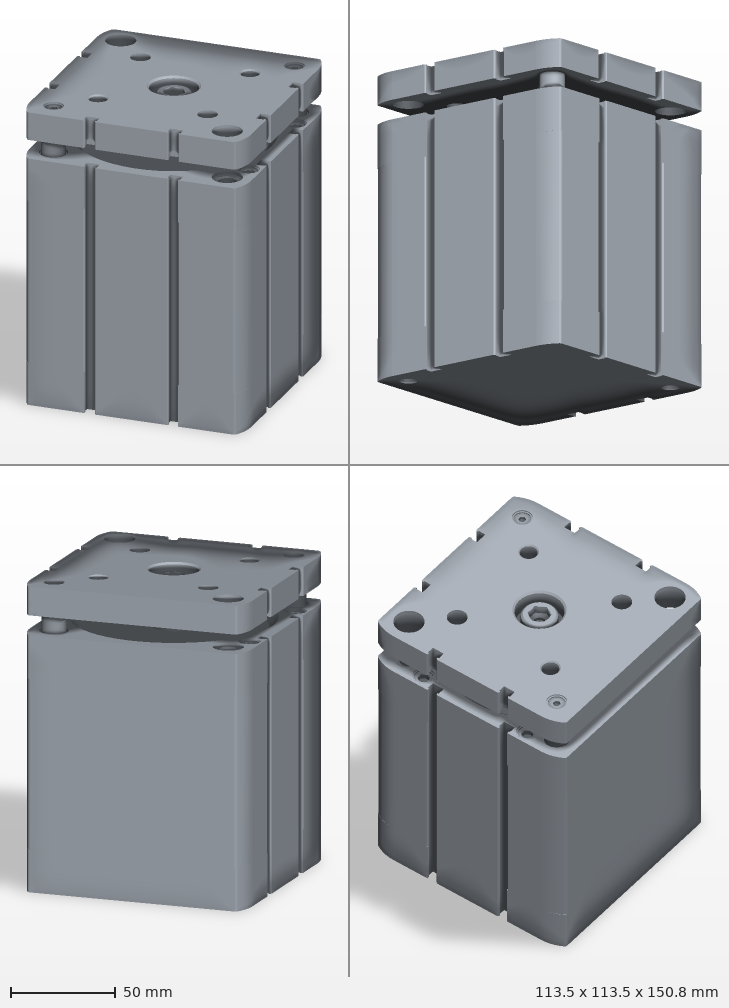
import cadquery as cq
import math


total_height = 150.8
side = 113.5
half_side = side / 2

lower_cap_height = 21.3
barrel_top = 105.3
housing_top = 127.0
plate_thickness = 14.2
plate_bottom = total_height - plate_thickness

rod_offset = 44.5
cap_corner_radius = 22.3
cap_corner_fillet = 1.5
barrel_corner_radius = 21.1
barrel_corner_fillet = 2.0

slot_offset = 21.4
slot_depth = 5.3
slot_mouth_width = 5.1
slot_inner_width = 6.5
slot_lip_depth = 1.4
slot_mouth_chamfer = 0.6

rod_diameter = 20.0
rod_flat_width = 17.0
rod_flat_bottom = 129.8
rod_flat_runout = 1.2
rod_tip_z = 148.0
rod_tip_diameter = 18.0
rod_tip_chamfer = 1.0
rod_socket_mouth_diameter = 10.7
rod_socket_width = 10.0
rod_socket_depth = 4.4
rod_center_hole_diameter = 6.0
rod_center_hole_depth = 1.5
drill_half_angle = 59.0

guide_diameter = 12.0
guide_clearance_diameter = 14.0
guide_clearance_depth = 1.5
guide_screw_diameter = 10.0
guide_socket_width = 3.3
guide_socket_depth = 1.5

head_depth = 1.2
head_step_depth = 0.6
head_step_width = 0.8

thread_diameter = 8.6
thread_mouth_diameter = 10.0
thread_chamfer = (thread_mouth_diameter - thread_diameter) / 2

center_hole_diameter = 24.0
center_hole_mouth_diameter = 26.0
center_hole_chamfer = (center_hole_mouth_diameter - center_hole_diameter) / 2
center_hole_depth = 10.0
inner_hole_offset = 28.0
pin_hole_diameter = 10.0
access_hole_diameter = 15.0

recess_diameter = 100.0
recess_depth = 4.5
mounting_counterbore_diameter = 15.0
mounting_counterbore_depth = 1.5
cap_screw_x = 50.4
cap_screw_y = 31.2
cap_screw_diameter = 10.7
cap_screw_socket_mouth_diameter = 6.0
cap_screw_socket_width = 5.0
cap_screw_socket_depth = 3.0

guide_corners = [(-1, -1), (1, 1)]
mounting_corners = [(-1, 1), (1, -1)]


def at_corners(corners, offset):
    return [(sx * offset, sy * offset) for sx, sy in corners]


def cylinder(diameter, bottom, top, place=(0, 0)):
    return cq.Workplane("XY", origin=(*place, bottom)).circle(diameter / 2).extrude(top - bottom)


def cone(bottom_diameter, top_diameter, bottom, top, place=(0, 0)):
    """Cone frustum; the bottom diameter may be zero for a pointed end."""
    profile = [(0, bottom), (bottom_diameter / 2, bottom), (top_diameter / 2, top), (0, top)]
    if bottom_diameter == 0:
        profile.pop(0)
    turned = cq.Workplane("XZ").polyline(profile).close().revolve(360, (0, 0, 0), (0, 1, 0))
    return turned.translate((*place, 0))


def hex_prism(width, bottom, top, place=(0, 0)):
    """Hexagon with two flats square to Y."""
    corner_diameter = width / math.cos(math.pi / 6)
    return cq.Workplane("XY", origin=(*place, bottom)).polygon(6, corner_diameter).extrude(top - bottom)


def threaded_hole(bottom, top, place):
    """Round hole with a 45 degree chamfer at its top."""
    hole = cylinder(thread_diameter, bottom, top, place)
    return hole.union(cone(thread_diameter, thread_mouth_diameter, top - thread_chamfer, top, place))


def sunk_head(diameter, face, place):
    """Stepped round recess above a screw head that lies below a face."""
    seat = cylinder(diameter, face - head_step_depth, face, place)
    return seat.union(cylinder(diameter - 2 * head_step_width, face - head_depth, face, place))


def square_block(bottom, top, corner_radius, corner_fillet):
    """Square block whose X sides run into large corner arcs, with filleted ends."""
    corner_rise = half_side - rod_offset
    arc_center_x = half_side - corner_radius
    arc_end_x = arc_center_x + math.sqrt(corner_radius**2 - corner_rise**2)
    block = (
        cq.Workplane("XY", origin=(0, 0, bottom))
        .moveTo(-arc_end_x, -half_side)
        .lineTo(arc_end_x, -half_side)
        .radiusArc((half_side, -rod_offset), -corner_radius)
        .lineTo(half_side, rod_offset)
        .radiusArc((arc_end_x, half_side), -corner_radius)
        .lineTo(-arc_end_x, half_side)
        .radiusArc((-half_side, rod_offset), -corner_radius)
        .lineTo(-half_side, -rod_offset)
        .radiusArc((-arc_end_x, -half_side), -corner_radius)
        .close()
        .extrude(top - bottom)
    )
    return block.edges("|Z").edges("<Y or >Y").fillet(corner_fillet)


def slot_on_front(bottom, top, direction, outer_chamfer):
    """One slot in the -Y side, at +X or -X as given by direction."""
    half_mouth = slot_mouth_width / 2
    half_inner = slot_inner_width / 2
    inner_lip_front = -half_mouth - slot_mouth_chamfer
    outer_lip_front = half_mouth + outer_chamfer
    profile = [
        (inner_lip_front, 0),
        (-half_mouth, slot_mouth_chamfer),
        (-half_mouth, slot_lip_depth),
        (-half_inner, slot_lip_depth),
        (-half_inner, slot_depth),
        (half_inner, slot_depth),
        (half_inner, slot_lip_depth),
        (half_mouth, slot_lip_depth),
        (half_mouth, slot_mouth_chamfer),
        (outer_lip_front, 0),
    ]
    slot = cq.Workplane("XY").polyline(profile).close().extrude(top - bottom)
    slot = slot.translate((slot_offset, -half_side, bottom))
    return slot if direction > 0 else slot.mirror("YZ")


def cut_slots(block, bottom, top, outer_chamfer):
    """Two slots in each of the -Y, +X and -X sides."""
    for turn in (-90, 0, 90):
        for direction in (-1, 1):
            slot = slot_on_front(bottom, top, direction, outer_chamfer)
            block = block.cut(slot.rotate((0, 0, 0), (0, 0, 1), turn))
    return block


def make_cap(bottom, top):
    cap = square_block(bottom, top, cap_corner_radius, cap_corner_fillet)
    return cut_slots(cap, bottom, top, 0)


def make_barrel():
    barrel = square_block(lower_cap_height, barrel_top, barrel_corner_radius, barrel_corner_fillet)
    return cut_slots(barrel, lower_cap_height, barrel_top, slot_mouth_chamfer)


def mounting_hole(place):
    seat = housing_top - mounting_counterbore_depth
    counterbore = cylinder(mounting_counterbore_diameter, seat, housing_top, place)
    return threaded_hole(0, seat, place).union(counterbore)


def guide_hole(place):
    seat = housing_top - guide_clearance_depth
    clearance = cylinder(guide_clearance_diameter, seat, housing_top, place)
    return cylinder(guide_diameter, barrel_top, housing_top, place).union(clearance)


def cap_screw_recess(place):
    """Screw head sunk into the cap, with a hexagon socket."""
    head = housing_top - head_depth
    chamfer = (cap_screw_socket_mouth_diameter - cap_screw_socket_width) / 2
    seat = sunk_head(cap_screw_diameter, housing_top, place)
    mouth = cone(cap_screw_socket_width, cap_screw_socket_mouth_diameter, head - chamfer, head, place)
    socket = hex_prism(cap_screw_socket_width, head - cap_screw_socket_depth, head, place)
    return seat.union(mouth).union(socket)


def make_housing():
    housing = make_barrel()
    housing = housing.union(make_cap(0, lower_cap_height), clean=False)
    housing = housing.union(make_cap(barrel_top, housing_top), clean=False)

    floor_diameter = recess_diameter - 2 * recess_depth
    recess = cone(floor_diameter, recess_diameter, housing_top - recess_depth, housing_top)
    housing = housing.cut(recess, clean=False)
    housing = housing.cut(cylinder(rod_diameter, barrel_top, housing_top), clean=False)

    for place in at_corners(guide_corners, rod_offset):
        housing = housing.cut(guide_hole(place), clean=False)
    for place in at_corners(mounting_corners, rod_offset):
        housing = housing.cut(mounting_hole(place), clean=False)
    for x in (-cap_screw_x, cap_screw_x):
        for y in (-cap_screw_y, cap_screw_y):
            housing = housing.cut(cap_screw_recess((x, y)), clean=False)
    return housing


def make_plate():
    plate = square_block(plate_bottom, total_height, cap_corner_radius, cap_corner_fillet)
    plate = cut_slots(plate, plate_bottom, total_height, slot_mouth_chamfer)
    for place in at_corners(mounting_corners, rod_offset):
        plate = plate.cut(cylinder(access_hole_diameter, plate_bottom, total_height, place))
    for place in at_corners(mounting_corners, inner_hole_offset):
        plate = plate.cut(cylinder(pin_hole_diameter, plate_bottom, total_height, place))
    for place in at_corners(guide_corners, inner_hole_offset):
        plate = plate.cut(threaded_hole(plate_bottom, total_height, place))

    plate = plate.cut(cylinder(center_hole_diameter, total_height - center_hole_depth, total_height))
    chamfer_bottom = total_height - center_hole_chamfer
    return plate.cut(cone(center_hole_diameter, center_hole_mouth_diameter, chamfer_bottom, total_height))


def rod_socket():
    """Hexagon socket with a countersunk mouth and a drilled hole below it."""
    chamfer = (rod_socket_mouth_diameter - rod_socket_width) / 2
    slope = 1 / math.tan(math.radians(drill_half_angle))
    floor = rod_tip_z - rod_socket_depth
    center_top = floor - (rod_socket_width - rod_center_hole_diameter) / 2 * slope
    center_bottom = center_top - rod_center_hole_depth
    point = center_bottom - rod_center_hole_diameter / 2 * slope

    socket = hex_prism(rod_socket_width, floor, rod_tip_z)
    socket = socket.union(cone(rod_socket_width, rod_socket_mouth_diameter, rod_tip_z - chamfer, rod_tip_z))
    socket = socket.union(cone(rod_center_hole_diameter, rod_socket_width, center_top, floor))
    socket = socket.union(cylinder(rod_center_hole_diameter, center_bottom, center_top))
    return socket.union(cone(0, rod_center_hole_diameter, point, center_bottom))


def wrench_flat(direction):
    """Cutter for the flat on the +Y or -Y side, ending in a sloped run-out."""
    flat_y = rod_flat_width / 2
    outer_y = rod_diameter / 2
    profile = [
        (direction * flat_y, plate_bottom),
        (direction * flat_y, rod_flat_bottom),
        (direction * outer_y, rod_flat_bottom - rod_flat_runout),
        (direction * outer_y, plate_bottom),
    ]
    return cq.Workplane("YZ").polyline(profile).close().extrude(rod_diameter / 2, both=True)


def make_piston_rod():
    tip_bottom = total_height - center_hole_depth
    shaft = cylinder(rod_diameter, barrel_top, plate_bottom)
    for direction in (-1, 1):
        shaft = shaft.cut(wrench_flat(direction))
    tip = cylinder(rod_tip_diameter, tip_bottom, rod_tip_z).faces(">Z").chamfer(rod_tip_chamfer)
    return shaft, tip


def guide_rod_end(place):
    """Sunk end of a guide rod in the plate, with a small hexagon socket."""
    rod_end = total_height - head_depth
    socket = hex_prism(guide_socket_width, rod_end - guide_socket_depth, rod_end, place)
    return sunk_head(guide_screw_diameter, total_height, place).union(socket)


def make_moving_unit():
    shaft, tip = make_piston_rod()
    unit = make_plate().union(shaft).union(tip).cut(rod_socket())
    for place in at_corners(guide_corners, rod_offset):
        unit = unit.union(cylinder(guide_diameter, barrel_top, plate_bottom, place))
        unit = unit.cut(guide_rod_end(place))
    return unit


housing = make_housing()
moving_unit = make_moving_unit()
result = cq.Compound.makeCompound([housing.val(), moving_unit.val()])